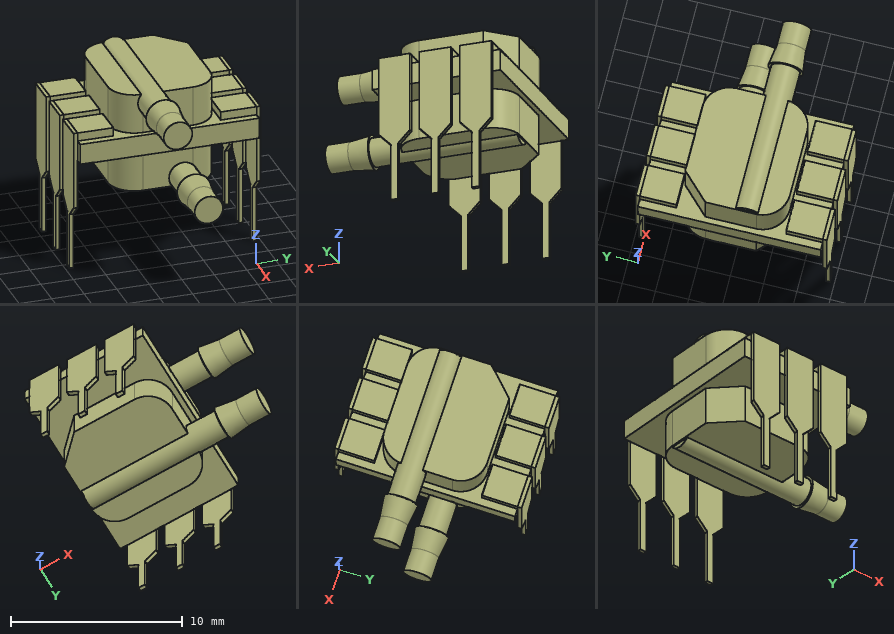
import cadquery as cq

BOARD_LENGTH = 8.0
BOARD_WIDTH = 11.0
BOARD_THICKNESS = 1.3
BOARD_TOP = BOARD_THICKNESS / 2

LEAD_COUNT = 3
LEAD_PITCH = 2.54
LEAD_WIDTH = 1.97
LEAD_THICKNESS = 0.25
LEAD_TIP_WIDTH = 0.45
LEAD_SHOULDER_Z = -3.68
LEAD_BOTTOM_Z = -7.94
PAD_DEPTH = 2.2
PAD_HEIGHT = 0.525
LEAD_TOP_Z = BOARD_TOP + PAD_HEIGHT
LEAD_TAPER = (LEAD_WIDTH - LEAD_TIP_WIDTH) / 2
LEAD_POSITIONS = [(i - (LEAD_COUNT - 1) / 2) * LEAD_PITCH for i in range(LEAD_COUNT)]

CAP_LENGTH = 7.3
CAP_WIDTH = 6.3
CAP_HEIGHT = 2.475
CAP_CORNER = 1.625

PORT_DIAMETER = 1.75
PORT_OFFSET_Y = -0.95
PORT_Z = 2.56
PORT_INNER_GAP = 0.09
PORT_START_X = -CAP_LENGTH / 2 + PORT_INNER_GAP
PORT_END_X = 8.4
BARB_DIAMETER = 2.1
BARB_START_X = 5.67
BARB_END_X = 7.0


def make_board():
    """Board with a row of raised pads flush with each of its long edges."""
    board = cq.Workplane("XY").box(BOARD_LENGTH, BOARD_WIDTH, BOARD_THICKNESS)
    pad_y = (BOARD_WIDTH - PAD_DEPTH) / 2
    pad_centres = [(x, side * pad_y) for x in LEAD_POSITIONS for side in (-1, 1)]
    pads = (
        cq.Workplane("XY", origin=(0, 0, BOARD_TOP))
        .pushPoints(pad_centres)
        .rect(LEAD_WIDTH, PAD_DEPTH)
        .extrude(PAD_HEIGHT)
    )
    return board.union(pads)


def make_lead(x, side):
    """Flat lead against the board edge on the given side (-1 or 1) in Y."""
    half_width = LEAD_WIDTH / 2
    half_tip = LEAD_TIP_WIDTH / 2
    taper_end_z = LEAD_SHOULDER_Z - LEAD_TAPER
    lead_y = side * (BOARD_WIDTH + LEAD_THICKNESS) / 2
    return (
        cq.Workplane("XZ", origin=(x, lead_y, 0))
        .moveTo(-half_width, LEAD_TOP_Z)
        .lineTo(half_width, LEAD_TOP_Z)
        .lineTo(half_width, LEAD_SHOULDER_Z)
        .lineTo(half_tip, taper_end_z)
        .lineTo(half_tip, LEAD_BOTTOM_Z)
        .lineTo(-half_tip, LEAD_BOTTOM_Z)
        .lineTo(-half_tip, taper_end_z)
        .lineTo(-half_width, LEAD_SHOULDER_Z)
        .close()
        .extrude(LEAD_THICKNESS / 2, both=True)
    )


def make_port():
    """Barbed hose port, revolved about its own axis along X."""
    port_radius = PORT_DIAMETER / 2
    barb_radius = BARB_DIAMETER / 2
    return (
        cq.Workplane("XY", origin=(0, PORT_OFFSET_Y, PORT_Z))
        .moveTo(PORT_START_X, 0)
        .lineTo(PORT_START_X, port_radius)
        .lineTo(BARB_START_X, port_radius)
        .lineTo(BARB_START_X, barb_radius)
        .lineTo(BARB_END_X, port_radius)
        .lineTo(PORT_END_X, port_radius)
        .lineTo(PORT_END_X, 0)
        .close()
        .revolve(360, (0, 0, 0), (1, 0, 0))
    )


def make_cap():
    """Upper cap: a block with one chamfered corner, three rounded ones and a port."""
    block = (
        cq.Workplane("XY", origin=(0, 0, BOARD_TOP))
        .rect(CAP_LENGTH, CAP_WIDTH)
        .extrude(CAP_HEIGHT)
        .edges("|Z and (>X or <Y)")
        .fillet(CAP_CORNER)
        .edges("|Z and <X and >Y")
        .chamfer(CAP_CORNER)
    )
    return block.union(make_port())


board = make_board()
leads = [make_lead(x, side) for x in LEAD_POSITIONS for side in (-1, 1)]
upper_cap = make_cap()
lower_cap = make_cap().rotate((0, 0, 0), (1, 0, 0), 180)

result = cq.Compound.makeCompound(
    [board.val(), upper_cap.val(), lower_cap.val()] + [lead.val() for lead in leads]
)